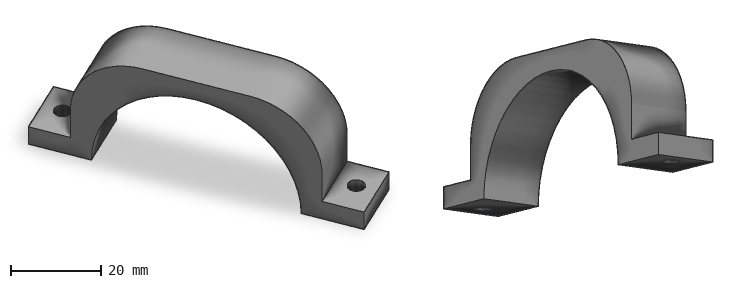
import cadquery as cq

length = 80.0
height = 30.0
depth = height / 2

wall = height / 6
saddle_width = 2 * height
bore_radius = height - wall
shoulder_radius = 17.1

hole_diameter = 4.0
hole_x = (length + saddle_width) / 4
hole_y = 0.4


def block(width, block_height):
    """Block centred in X and Y, standing on Z = 0."""
    return cq.Workplane("XY").box(width, depth, block_height, centered=(True, True, False))


saddle = block(saddle_width, height).edges("|Y and >Z").fillet(shoulder_radius)

bore = cq.Workplane("XZ", origin=(0, depth / 2, 0)).circle(bore_radius).extrude(depth)
clamp = saddle.union(block(length, wall)).cut(bore)

screw_holes = (
    cq.Workplane("XY")
    .pushPoints([(-hole_x, hole_y), (hole_x, hole_y)])
    .circle(hole_diameter / 2)
    .extrude(wall)
)

result = clamp.cut(screw_holes)